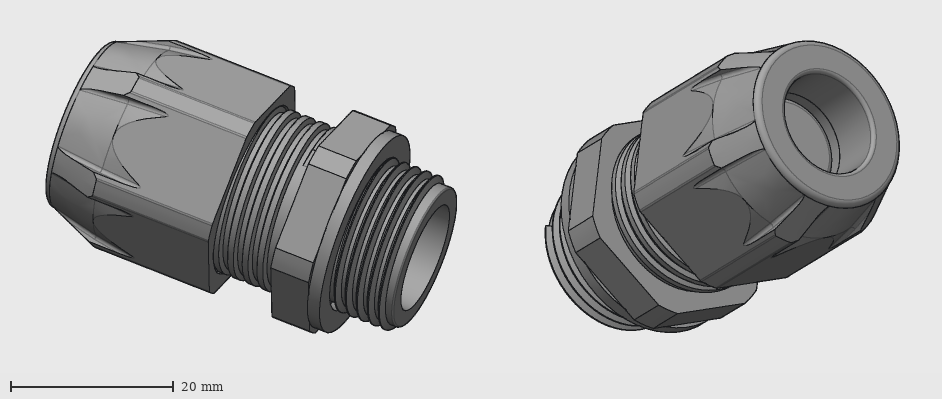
import cadquery as cq
import math


ROLL = 9.9
PITCH = 3.9
YAW = 5.95

CAP_KINK = 7.4
CAP_FLUTE_END = 15.8
CAP_LENGTH = 23.15
HEX_FRONT = 31.7
HEX_BACK = 36.85
GASKET_BACK = 38.5
GLAND_LENGTH = 46.72

CAP_NOSE_DIA = 21.97
CAP_NOSE_BAND = 0.8
CAP_NOSE_FILLET = 0.79
CAP_FLATS = 24.8
CAP_CORNER_DIA = 27.35
CAP_CORNER_BLEND = 0.6
FORM_CLEARANCE = 1.0
CAP_FACE_BORE_DIA = 13.2
CAP_BORE_FILLET = 0.5
CAP_FRONT_WALL = 7.0
CAP_CAVITY_DIA = 22.2
RIDGE_COUNT = 6
RIDGE_HALF_ANGLE = 7.8
RIDGE_FOOT_FILLET = 0.5

BODY_FRONT = 9.0
NECK_DIA = 20.45
HEX_FLATS = 25.0
HEX_CORNER_DIA = 27.35
SPIGOT_DIA = 18.42
SPIGOT_FILLET = 0.2
PASSAGE_DIA = 13.94
THREAD_ROOT_OVERLAP = 0.1

CAP_THREAD_DIA = 21.8
CAP_THREAD_PITCH = 2.0
CAP_THREAD_START = 17.9
CAP_THREAD_TURNS = 6.5
CAP_THREAD_BASE = 1.4
CAP_THREAD_FADE_TURN = 10.0
CAP_THREAD_CREST = 0.8

SPIGOT_THREAD_DIA = 20.1
SPIGOT_THREAD_PITCH = 1.5
SPIGOT_THREAD_START = 38.07
SPIGOT_THREAD_TURNS = 5.25
SPIGOT_THREAD_BASE = 1.1
SPIGOT_THREAD_CREST = 0.15

GASKET_DIA = 26.0
GASKET_BORE_DIA = 20.2
SEAL_DIA = 16.5
SEAL_BACK = 20.0
PLUG_DIA = 13.17
PLUG_FRONT = 8.2
PLUG_FILLET = 0.7


def cylinder(diameter, start, end):
    return cq.Workplane("XY").workplane(offset=start).circle(diameter / 2).extrude(end - start)


def hexagon(across_flats, start, end):
    """Hexagonal prism with two of its flats facing +Y and -Y."""
    across_corners = across_flats / math.cos(math.pi / 6)
    return cq.Workplane("XY").workplane(offset=start).polygon(6, across_corners).extrude(end - start)


def turned(points):
    """Solid of revolution about Z from (radius, station) points, closed along the axis."""
    closed = [(0, points[0][1])] + points + [(0, points[-1][1])]
    return cq.Workplane("XZ").polyline(closed).close().revolve(360, (0, 0), (0, 1))


def thread(root_dia, crest_dia, pitch, start, turns, base, crest):
    """Right-hand helical rib, its foot sunk slightly into the core."""
    foot = root_dia / 2 - THREAD_ROOT_OVERLAP
    path = cq.Wire.makeHelix(pitch, pitch * turns, root_dia / 2).moved(cq.Location((0, 0, start)))
    profile = [
        (foot, start - base / 2),
        (crest_dia / 2, start - crest / 2),
        (crest_dia / 2, start + crest / 2),
        (foot, start + base / 2),
    ]
    return cq.Workplane("XZ").polyline(profile).close().sweep(cq.Workplane(path), isFrenet=True)


def cap_thread_fade():
    """Block whose flat inner face ramps the end of the cap thread down to the neck."""
    end_station = CAP_THREAD_START + CAP_THREAD_PITCH * CAP_THREAD_TURNS
    flat_distance = NECK_DIA / 2 * math.cos(math.radians(CAP_THREAD_FADE_TURN))
    height = CAP_THREAD_PITCH
    end_angle = 360 * CAP_THREAD_TURNS + CAP_THREAD_FADE_TURN
    return (
        cq.Workplane("XY")
        .box(NECK_DIA, NECK_DIA / 2, height, centered=(False, True, True))
        .translate((flat_distance, 0, end_station))
        .rotate((0, 0, 0), (0, 0, 1), end_angle)
    )


def flute_cutters(flute_form):
    """Sectors between the corner ridges, hollowed by the flute surface and rounded along their feet."""
    reach = CAP_CORNER_DIA
    sector_half_angle = math.radians(180 / RIDGE_COUNT - RIDGE_HALF_ANGLE)
    half_width = reach * math.tan(sector_half_angle)
    cutter = (
        cq.Workplane("XY")
        .workplane(offset=CAP_NOSE_BAND)
        .polyline([(0, 0), (reach, -half_width), (reach, half_width)])
        .close()
        .extrude(CAP_LENGTH - CAP_NOSE_BAND)
        .cut(flute_form)
    )
    foot_zone = cq.selectors.BoxSelector(
        (0, -reach / 4, CAP_NOSE_BAND), (CAP_CORNER_DIA / 2, reach / 4, CAP_FLUTE_END)
    )
    cutter = cutter.faces("%PLANE").edges("%LINE").edges(foot_zone).fillet(RIDGE_FOOT_FILLET)
    first_flat = 180 / RIDGE_COUNT
    return [
        cutter.rotate((0, 0, 0), (0, 0, 1), first_flat + index * 360 / RIDGE_COUNT)
        for index in range(RIDGE_COUNT)
    ]


def make_cap():
    nose_radius = CAP_NOSE_DIA / 2
    corner_radius = CAP_CORNER_DIA / 2
    ridge_form = turned(
        [
            (nose_radius, 0),
            (nose_radius, CAP_NOSE_BAND),
            (corner_radius, CAP_KINK),
            (corner_radius + FORM_CLEARANCE, CAP_LENGTH),
        ]
    )
    flute_form = turned(
        [
            (nose_radius, 0),
            (nose_radius, CAP_NOSE_BAND),
            (CAP_FLATS / 2, CAP_KINK),
            (corner_radius, CAP_FLUTE_END),
            (corner_radius + FORM_CLEARANCE, CAP_LENGTH),
        ]
    )
    prism = hexagon(CAP_FLATS, 0, CAP_LENGTH).intersect(cylinder(CAP_CORNER_DIA, 0, CAP_LENGTH))
    prism = prism.edges("|Z").fillet(CAP_CORNER_BLEND)
    cap = ridge_form.intersect(prism)
    for cutter in flute_cutters(flute_form):
        cap = cap.cut(cutter)
    cap = cap.faces("<Z").edges().fillet(CAP_NOSE_FILLET)
    cap = cap.cut(cylinder(CAP_FACE_BORE_DIA, 0, CAP_FRONT_WALL))
    mouth = cap.faces("<Z").edges(cq.selectors.RadiusNthSelector(0))
    cap = mouth.fillet(CAP_BORE_FILLET)
    return cap.cut(cylinder(CAP_CAVITY_DIA, CAP_FRONT_WALL, CAP_LENGTH))


def make_body():
    neck = cylinder(NECK_DIA, BODY_FRONT, HEX_BACK)
    nut = hexagon(HEX_FLATS, HEX_FRONT, HEX_BACK).intersect(cylinder(HEX_CORNER_DIA, HEX_FRONT, HEX_BACK))
    spigot = cylinder(SPIGOT_DIA, HEX_BACK, GLAND_LENGTH).faces(">Z").edges().fillet(SPIGOT_FILLET)
    cap_thread = thread(
        NECK_DIA, CAP_THREAD_DIA, CAP_THREAD_PITCH, CAP_THREAD_START,
        CAP_THREAD_TURNS, CAP_THREAD_BASE, CAP_THREAD_CREST,
    ).cut(cap_thread_fade())
    spigot_thread = thread(
        SPIGOT_DIA, SPIGOT_THREAD_DIA, SPIGOT_THREAD_PITCH, SPIGOT_THREAD_START,
        SPIGOT_THREAD_TURNS, SPIGOT_THREAD_BASE, SPIGOT_THREAD_CREST,
    )
    core = neck.union(nut).union(spigot)
    core = core.cut(cylinder(SEAL_DIA, BODY_FRONT, SEAL_BACK))
    core = core.cut(cylinder(PASSAGE_DIA, SEAL_BACK, GLAND_LENGTH))
    return core.union(cap_thread).union(spigot_thread)


def make_gasket():
    return cylinder(GASKET_DIA, HEX_BACK, GASKET_BACK).cut(cylinder(GASKET_BORE_DIA, HEX_BACK, GASKET_BACK))


def make_seal():
    return cylinder(SEAL_DIA, CAP_FRONT_WALL, SEAL_BACK).cut(cylinder(PLUG_DIA, CAP_FRONT_WALL, SEAL_BACK))


def make_plug():
    return cylinder(PLUG_DIA, PLUG_FRONT, SEAL_BACK).faces("<Z").edges().fillet(PLUG_FILLET)


def placed(part):
    """Lay the gland axis along X, then roll, pitch and yaw it."""
    origin = (0, 0, 0)
    return (
        part.rotate(origin, (0, 1, 0), 90)
        .rotate(origin, (1, 0, 0), ROLL)
        .rotate(origin, (0, 1, 0), PITCH)
        .rotate(origin, (0, 0, 1), YAW)
    )


cap = placed(make_cap())
body = placed(make_body())
gasket = placed(make_gasket())
seal = placed(make_seal())
plug = placed(make_plug())

result = cq.Compound.makeCompound([cap.val(), body.val(), gasket.val(), seal.val(), plug.val()])